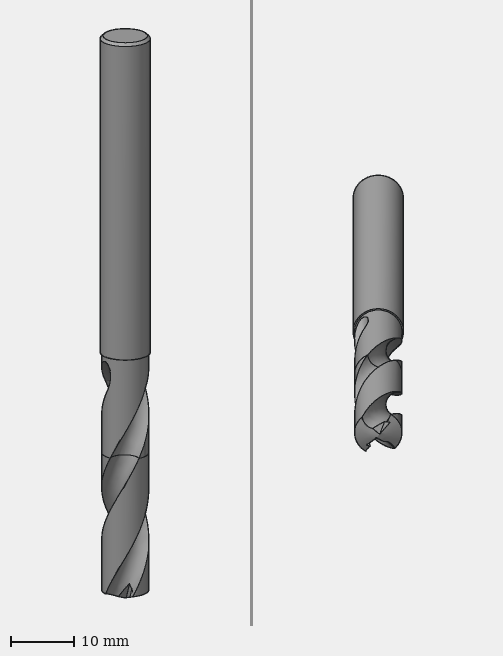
import cadquery as cq
import math

total_length = 94.0
shank_diameter = 8.0
drill_diameter = 7.5
shank_start = 41.1
joint_height = 24.3
shank_chamfer = 0.5
point_angle = 140.0

flute_count = 2
helix_lead = 42.0
flute_radius = 2.35
flute_center_radius = 3.6
flute_start_angle = 92.0
flute_end = 35.7
runout_height = 4.9
runout_sideways = 3.0
runout_outward = 2.1

notch_root = cq.Vector(1.5, -0.9, 3.3)
notch_heel_edge = cq.Vector(-3.4, -2.4, -2.2)
notch_lip_edge = cq.Vector(1.1, -0.4, -2.8)
notch_run = cq.Vector(-1.2, 0.75, -3.3)

drill_radius = drill_diameter / 2
shank_radius = shank_diameter / 2
point_height = drill_radius / math.tan(math.radians(point_angle / 2))
flute_spacing = 360.0 / flute_count


def make_tip_blank():
    """Cylindrical cutting head with a conical point."""
    return (
        cq.Workplane("XZ")
        .moveTo(0, 0)
        .lineTo(drill_radius, point_height)
        .lineTo(drill_radius, joint_height)
        .lineTo(0, joint_height)
        .close()
        .revolve(360, (0, 0, 0), (0, 1, 0))
    )


def make_shank_blank():
    """Neck of drill diameter below a wider, chamfered shank."""
    neck = (
        cq.Workplane("XY")
        .workplane(offset=joint_height)
        .circle(drill_radius)
        .extrude(shank_start - joint_height)
    )
    shank = (
        cq.Workplane("XY")
        .workplane(offset=shank_start)
        .circle(shank_radius)
        .extrude(total_length - shank_start)
        .faces(">Z")
        .chamfer(shank_chamfer)
    )
    return neck.union(shank)


def make_helix_cutter(start_angle):
    """Round flute section twisted along the drill axis."""
    return (
        cq.Workplane("XY")
        .center(flute_center_radius, 0)
        .circle(flute_radius)
        .center(-flute_center_radius, 0)
        .twistExtrude(flute_end, 360.0 * flute_end / helix_lead)
        .rotate((0, 0, 0), (0, 0, 1), start_angle)
    )


def make_runout_cutter(start_angle):
    """Straight continuation of the flute that rises out through the neck surface."""
    section = cq.Wire.makeCircle(
        flute_radius,
        cq.Vector(flute_center_radius, 0, flute_end),
        cq.Vector(0, 0, 1),
    )
    direction = cq.Vector(runout_outward, runout_sideways, runout_height)
    runout = cq.Solid.extrudeLinear(section, [], direction)
    end_angle = start_angle + 360.0 * flute_end / helix_lead
    return cq.Workplane(runout).rotate((0, 0, 0), (0, 0, 1), end_angle)


def make_notch_cutter(turn):
    """V-shaped prism that thins the web, running from the flute wall down to the point."""
    profile = cq.Wire.makePolygon(
        [notch_root, notch_root + notch_heel_edge, notch_root + notch_lip_edge],
        close=True,
    )
    notch = cq.Solid.extrudeLinear(profile, [], notch_run)
    return cq.Workplane(notch).rotate((0, 0, 0), (0, 0, 1), turn)


tip = make_tip_blank()
shank = make_shank_blank()
for index in range(flute_count):
    turn = index * flute_spacing
    angle = flute_start_angle + turn
    helix_cutter = make_helix_cutter(angle)
    tip = tip.cut(helix_cutter).cut(make_notch_cutter(turn))
    shank = shank.cut(helix_cutter).cut(make_runout_cutter(angle))

result = cq.Compound.makeCompound([tip.val(), shank.val()])